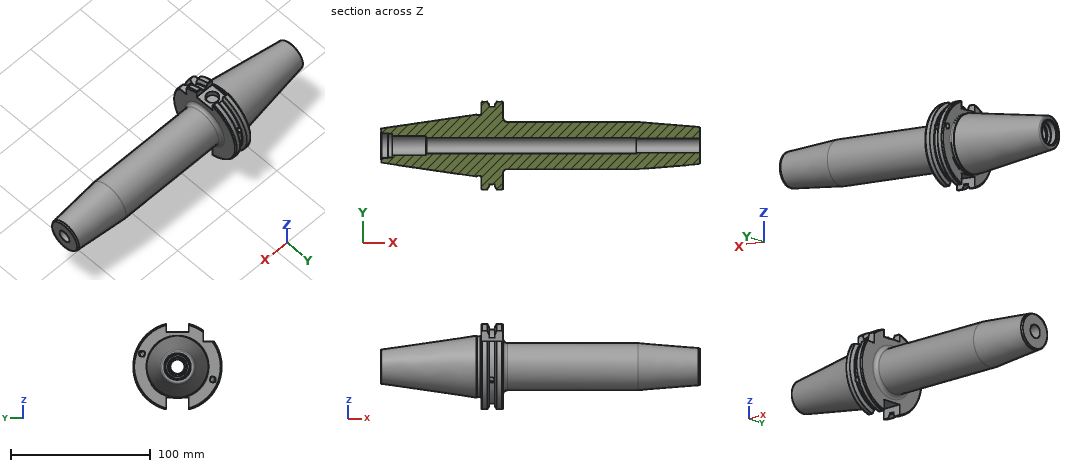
import cadquery as cq
import math

TOTAL_LENGTH = 228.5
SHANK_LARGE_D = 44.5
SHANK_LENGTH = 68.3
SHANK_TAPER = 7 / 24
SHANK_SMALL_D = SHANK_LARGE_D - SHANK_LENGTH * SHANK_TAPER
SHANK_END_FILLET = 1.0
NECK_D = 43.9
NECK_RAMP = 0.7
NECK_FILLET = 0.7
BODY_D = 34.0
BODY_FILLET = 3.0
NOSE_D = 27.0
NOSE_LENGTH = 44.8
NOSE_CHAMFER_LENGTH = 1.4
NOSE_CHAMFER_DEPTH = 0.7

FLANGE_D = 63.5
FLANGE_START = 71.7
FLANGE_END = 87.5
FLANGE_FRONT_CHAMFER = 1.0
FLANGE_BACK_CHAMFER_LENGTH = 1.1
FLANGE_BACK_CHAMFER_DEPTH = 0.7

GROOVE_CENTRE = 79.5
GROOVE_FLOOR_WIDTH = 3.7
GROOVE_FLOOR_D = 55.7
GROOVE_V_DEPTH = 2.7
GROOVE_HALF_ANGLE = 30

SLOT_WIDTH = 16.0
UPPER_SLOT_FLOOR = 25.0
LOWER_SLOT_FLOOR = 22.4
SLOT_RIM_CHAMFER = 0.5
NOTCH_SIDE = 18.5
NOTCH_FLOOR = 18.0
SLOT_HOLE_D = 10.0
SLOT_HOLE_DEPTH = 4.5
COOLANT_HOLE_D = 4.0
COOLANT_HOLE_CIRCLE_D = 54.0
COOLANT_HOLE_ANGLE = 20
CROSS_HOLE_D = 4.0
CROSS_HOLE_BOTTOM = 25.0

MOUTH_D = 19.2
PILOT_D = 17.5
PILOT_DEPTH = 5.0
RELIEF_D = 17.0
RELIEF_DEPTH = 8.0
THREAD_MOUTH_D = 14.0
THREAD_D = 13.5
THREAD_DEPTH = 32.0
DRILL_POINT_HALF_ANGLE = 59
FEED_D = 11.0
FEED_DEPTH = 182.7
TOOL_BORE_D = 10.0


def revolve_about_x(points):
    """Solid of revolution from an (x, radius) outline."""
    outline = cq.Workplane("XY").polyline(points).close()
    return outline.revolve(360, (0, 0, 0), (1, 0, 0))


def make_blank():
    shank_r = SHANK_LARGE_D / 2
    small_r = SHANK_SMALL_D / 2
    neck_r = NECK_D / 2
    flange_r = FLANGE_D / 2
    body_r = BODY_D / 2
    nose_r = NOSE_D / 2
    nose_end = TOTAL_LENGTH - NOSE_CHAMFER_LENGTH
    nose_start = TOTAL_LENGTH - NOSE_LENGTH
    outline = (
        cq.Workplane("XY")
        .moveTo(0, 0)
        .lineTo(0, small_r)
        .lineTo(SHANK_LENGTH, shank_r)
        .lineTo(SHANK_LENGTH + NECK_RAMP, neck_r)
        .lineTo(FLANGE_START - NECK_FILLET, neck_r)
        .radiusArc((FLANGE_START, neck_r + NECK_FILLET), -NECK_FILLET)
        .lineTo(FLANGE_START, flange_r - FLANGE_FRONT_CHAMFER)
        .lineTo(FLANGE_START + FLANGE_FRONT_CHAMFER, flange_r)
        .lineTo(FLANGE_END - FLANGE_BACK_CHAMFER_LENGTH, flange_r)
        .lineTo(FLANGE_END, flange_r - FLANGE_BACK_CHAMFER_DEPTH)
        .lineTo(FLANGE_END, body_r + BODY_FILLET)
        .radiusArc((FLANGE_END + BODY_FILLET, body_r), -BODY_FILLET)
        .lineTo(nose_start, body_r)
        .lineTo(nose_end, nose_r)
        .lineTo(TOTAL_LENGTH, nose_r - NOSE_CHAMFER_DEPTH)
        .lineTo(TOTAL_LENGTH, 0)
        .close()
    )
    blank = outline.revolve(360, (0, 0, 0), (1, 0, 0))
    return blank.faces("<X").edges().fillet(SHANK_END_FILLET)


def make_groove():
    rim_r = FLANGE_D / 2
    shoulder_r = rim_r - GROOVE_V_DEPTH
    floor_r = GROOVE_FLOOR_D / 2
    floor_half = GROOVE_FLOOR_WIDTH / 2
    rim_half = floor_half + GROOVE_V_DEPTH * math.tan(math.radians(GROOVE_HALF_ANGLE))
    left_side = [(-rim_half, rim_r), (-floor_half, shoulder_r), (-floor_half, floor_r)]
    right_side = [(-x, r) for x, r in reversed(left_side)]
    return revolve_about_x([(GROOVE_CENTRE + x, r) for x, r in left_side + right_side])


def make_bore():
    mouth_chamfer = (MOUTH_D - PILOT_D) / 2
    relief_chamfer = (PILOT_D - RELIEF_D) / 2
    thread_chamfer = (THREAD_MOUTH_D - THREAD_D) / 2
    drill_point = (THREAD_D - FEED_D) / 2 / math.tan(math.radians(DRILL_POINT_HALF_ANGLE))
    return revolve_about_x([
        (0, 0),
        (0, MOUTH_D / 2),
        (mouth_chamfer, PILOT_D / 2),
        (PILOT_DEPTH, PILOT_D / 2),
        (PILOT_DEPTH + relief_chamfer, RELIEF_D / 2),
        (RELIEF_DEPTH, RELIEF_D / 2),
        (RELIEF_DEPTH, THREAD_MOUTH_D / 2),
        (RELIEF_DEPTH + thread_chamfer, THREAD_D / 2),
        (THREAD_DEPTH, THREAD_D / 2),
        (THREAD_DEPTH + drill_point, FEED_D / 2),
        (FEED_DEPTH, FEED_D / 2),
        (FEED_DEPTH, TOOL_BORE_D / 2),
        (TOTAL_LENGTH, TOOL_BORE_D / 2),
        (TOTAL_LENGTH, 0),
    ])


def make_drive_slot(floor):
    """Slot open towards +Z, its side walls chamfered where they meet the rim."""
    half_slot = SLOT_WIDTH / 2
    half_mouth = half_slot + SLOT_RIM_CHAMFER
    rim_r = FLANGE_D / 2
    mouth_z = math.sqrt(rim_r**2 - half_mouth**2)
    chamfer_z = mouth_z - SLOT_RIM_CHAMFER
    left_side = [
        (-half_slot, floor),
        (-half_slot, chamfer_z),
        (-half_mouth, mouth_z),
        (-half_mouth, rim_r),
    ]
    right_side = [(-y, z) for y, z in reversed(left_side)]
    outline = cq.Workplane("YZ", origin=(FLANGE_START, 0, 0)).polyline(left_side + right_side).close()
    return outline.extrude(FLANGE_END - FLANGE_START)


def make_notch():
    reach = FLANGE_D / 2
    block = cq.Workplane("XY").box(
        FLANGE_END - FLANGE_START, reach - NOTCH_SIDE, reach - NOTCH_FLOOR, centered=False
    )
    return block.translate((FLANGE_START, -reach, NOTCH_FLOOR))


def make_slot_hole():
    hole = cq.Workplane("XY").circle(SLOT_HOLE_D / 2).extrude(SLOT_HOLE_DEPTH)
    return hole.translate((GROOVE_CENTRE, 0, UPPER_SLOT_FLOOR - SLOT_HOLE_DEPTH))


def make_coolant_hole(angle):
    """Axial hole in the flange face, met by a radial hole from the groove floor."""
    circle_r = COOLANT_HOLE_CIRCLE_D / 2
    axial = (
        cq.Workplane("YZ", origin=(FLANGE_START, circle_r, 0))
        .circle(COOLANT_HOLE_D / 2)
        .extrude(GROOVE_CENTRE - FLANGE_START)
    )
    radial = (
        cq.Workplane("XZ", origin=(GROOVE_CENTRE, CROSS_HOLE_BOTTOM, 0))
        .circle(CROSS_HOLE_D / 2)
        .extrude(CROSS_HOLE_BOTTOM - FLANGE_D / 2)
    )
    return axial.union(radial).rotate((0, 0, 0), (1, 0, 0), angle)


result = (
    make_blank()
    .cut(make_groove())
    .cut(make_drive_slot(UPPER_SLOT_FLOOR))
    .cut(make_drive_slot(LOWER_SLOT_FLOOR).rotate((0, 0, 0), (1, 0, 0), 180))
    .cut(make_notch())
    .cut(make_slot_hole())
    .cut(make_coolant_hole(COOLANT_HOLE_ANGLE))
    .cut(make_coolant_hole(COOLANT_HOLE_ANGLE + 180))
    .cut(make_bore())
)